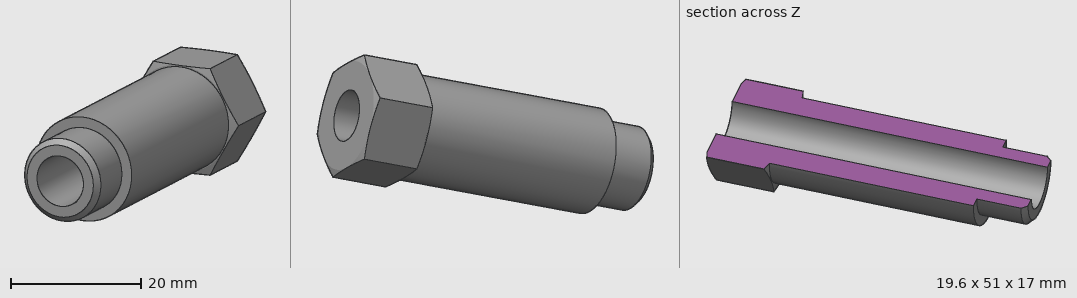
import cadquery as cq
import math

total_length = 51.0
hex_across_flats = 17.0
hex_length = 10.0
body_diameter = 16.5
tip_diameter = 13.15
tip_end_diameter = 11.4
tip_length = 8.0
bore_diameter = 8.0
hex_chamfer_angle = 15.0

hex_across_corners = hex_across_flats / math.cos(math.radians(30.0))
body_length = total_length - hex_length - tip_length
tip_chamfer = (tip_diameter - tip_end_diameter) / 2

tip_start = -total_length / 2
body_start = tip_start + tip_length
hex_start = body_start + body_length


def along_y(start):
    """Workplane square to the part's axis, extruding toward +Y."""
    plane = cq.Plane(origin=(0, start, 0), xDir=(1, 0, 0), normal=(0, 1, 0))
    return cq.Workplane(plane)


def cylinder(start, length, diameter):
    return along_y(start).circle(diameter / 2).extrude(length)


def hex_head():
    """Hexagon with corners on X, its corners turned off conically at both ends."""
    hexagon = along_y(hex_start).polygon(6, hex_across_corners).extrude(hex_length)
    corner_height = (hex_across_corners - hex_across_flats) / 2
    corner_setback = corner_height * math.tan(math.radians(hex_chamfer_angle))
    turned_blank = (
        cylinder(hex_start, hex_length, hex_across_corners)
        .faces("<Y or >Y")
        .chamfer(corner_setback, corner_height)
    )
    return hexagon.intersect(turned_blank)


def tip():
    """Spigot with a chamfered free end."""
    return cylinder(tip_start, tip_length, tip_diameter).faces("<Y").chamfer(tip_chamfer)


body = cylinder(body_start, body_length, body_diameter)
bore = cylinder(tip_start, total_length, bore_diameter)

result = hex_head().union(body).union(tip()).cut(bore)